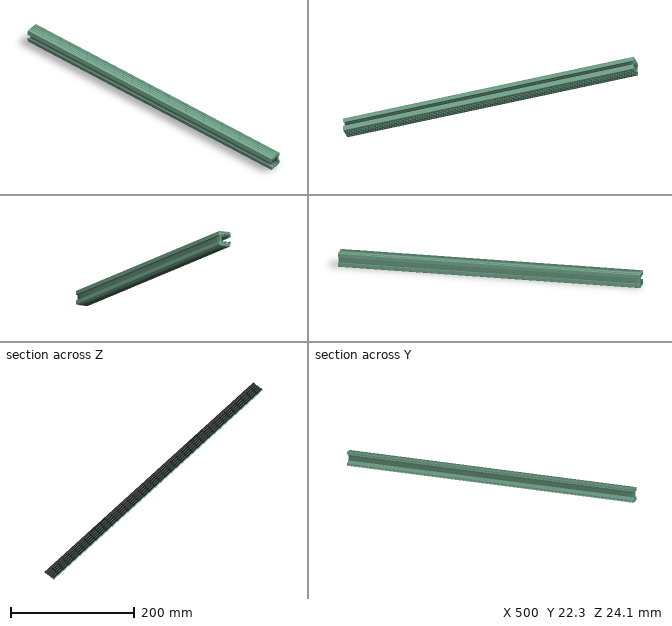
import cadquery as cq
import math

length = 500.0
depth = 22.29
height = 24.1
half_height = height / 2
back_y = depth / 2
front_y = -depth / 2

tooth_pitch = 3.765
tooth_flat = 0.75
tooth_angle = 11.6
tooth_slope_run = tooth_pitch - tooth_flat
tooth_rise = tooth_slope_run * math.tan(math.radians(tooth_angle))
root_z = half_height - tooth_rise
teeth_each_side = 2

web_outer_y = 8.0
web_inner_y = 6.2
foot_inner_z = 4.8
foot_corner_round = 0.75

flange_inner_z = 7.3
lip_angle = 8.5
lip_thickness = 1.4
lip_end_z = 3.3
lip_round = 0.69
lip_corner_round = 0.3

fin_tip_z = 4.2
fin_thickness = 0.95
fin_lean = 1.45
fin_root_front_ys = (1.65, -3.8)

chamber_width = 1.96
chamber_bottom_z = 8.74
chamber_top_z = 10.6
chamber_round = 0.4

OVERLAP = 0.2


def extrude_outline(points):
    """Extrude a closed outline of (y, z) points along the full length."""
    return cq.Workplane("YZ").polyline(points).close().extrude(length / 2, both=True)


def lip_outer_y(z):
    """Y of the sloping outer lip face, tangent to an end round that just reaches the front."""
    angle = math.radians(lip_angle)
    round_centre_y = front_y + lip_round
    round_centre_z = lip_end_z + lip_round
    return round_centre_y - lip_round / math.cos(angle) + (z - round_centre_z) * math.tan(angle)


def tooth_peak_ys():
    """Rear edges of the tooth flats, from the back to the front."""
    return [i * tooth_pitch for i in range(teeth_each_side, -teeth_each_side - 1, -1)]


def make_flange():
    """Upper flange with its foot at the back, saw teeth outside and rounded outer corners."""
    peaks = tooth_peak_ys()
    outline = [(web_inner_y, flange_inner_z), (web_inner_y, foot_inner_z), (back_y, foot_inner_z)]
    outline += [(back_y, root_z), (peaks[0], root_z)]
    for peak_y in peaks[:-1]:
        flat_end_y = peak_y - tooth_flat
        outline += [(peak_y, half_height), (flat_end_y, half_height), (flat_end_y, root_z)]
    outline += [(peaks[-1], half_height), (lip_outer_y(half_height), half_height)]
    outline.append((lip_outer_y(flange_inner_z), flange_inner_z))
    lip_corner = cq.selectors.NearestToPointSelector((0, lip_outer_y(half_height), half_height))
    foot_corner = cq.selectors.NearestToPointSelector((0, back_y, root_z))
    flange = extrude_outline(outline).edges("|X").edges(lip_corner).fillet(lip_corner_round)
    return flange.edges("|X").edges(foot_corner).fillet(foot_corner_round)


def make_lip():
    """Sloping lip hanging from the front of the upper flange, rounded at its end."""
    root = flange_inner_z + OVERLAP
    outline = [
        (lip_outer_y(root), root),
        (lip_outer_y(lip_end_z), lip_end_z),
        (lip_outer_y(lip_end_z) + lip_thickness, lip_end_z),
        (lip_outer_y(root) + lip_thickness, root),
    ]
    end_edges = cq.selectors.BoxSelector(
        (-length, -depth, lip_end_z - OVERLAP), (length, depth, lip_end_z + OVERLAP)
    )
    return extrude_outline(outline).edges(end_edges).fillet(lip_round)


def make_fin(root_front_y):
    """Thin fin under the upper flange, its tip leaning towards the web."""
    root = flange_inner_z + OVERLAP
    lean_per_height = fin_lean / (flange_inner_z - fin_tip_z)
    sunk_y = root_front_y - OVERLAP * lean_per_height
    tip_y = root_front_y + fin_lean
    outline = [
        (sunk_y, root),
        (tip_y, fin_tip_z),
        (tip_y + fin_thickness, fin_tip_z),
        (sunk_y + fin_thickness, root),
    ]
    return extrude_outline(outline)


def make_chamber(centre_y):
    """Through-chamber inside the upper flange, rounded at its two outer corners."""
    centre_z = (chamber_bottom_z + chamber_top_z) / 2
    chamber_height = chamber_top_z - chamber_bottom_z
    chamber = cq.Workplane("XY").box(length, chamber_width, chamber_height)
    chamber = chamber.faces(">Z").edges("|X").fillet(chamber_round)
    return chamber.translate((0, centre_y, centre_z))


def make_web():
    """Plate that joins the two flanges behind the channel."""
    web_thickness = web_outer_y - web_inner_y
    web_centre_y = (web_outer_y + web_inner_y) / 2
    return cq.Workplane("XY").box(length, web_thickness, 2 * flange_inner_z).translate((0, web_centre_y, 0))


upper_half = make_flange().union(make_lip())
for fin_y in fin_root_front_ys:
    upper_half = upper_half.union(make_fin(fin_y))
for peak in tooth_peak_ys():
    upper_half = upper_half.cut(make_chamber(peak + tooth_slope_run / 2))

lower_half = upper_half.mirror("XY")
result = upper_half.union(make_web()).union(lower_half).clean().solids()